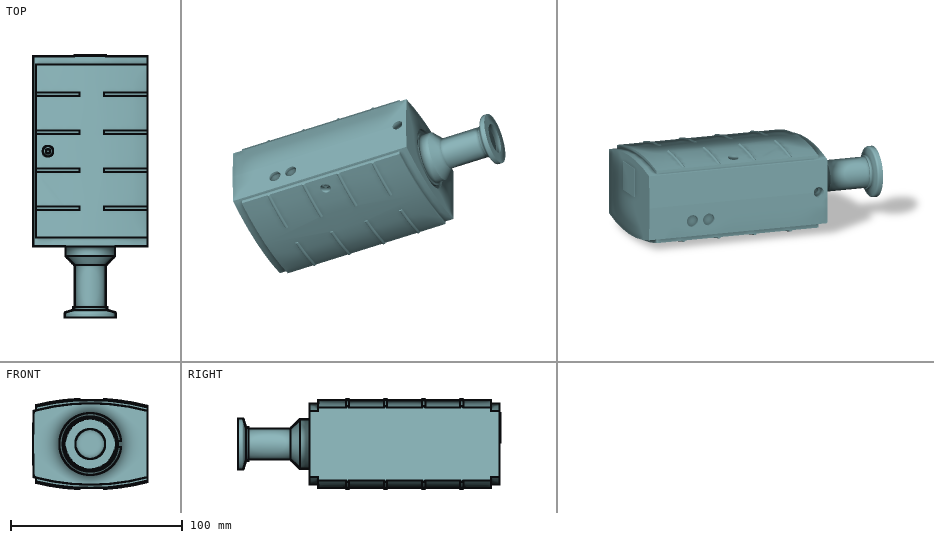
import cadquery as cq


housing_length = 111.0
side_x = 33.5
left_corner_x = 33.0
side_height = 19.3
crown_height = 23.7

panel_thickness = 2.0
panel_left_x = -31.7
panel_end_margin = 5.0

rib_height = 0.8
rib_width = 2.0
rib_rows = 4
rib_pitch = housing_length / (rib_rows + 1)
rib_gap_left_x = -6.1
rib_gap_right_x = 8.0

screw_x = -24.6
screw_y = housing_length / 2
screw_radius = 3.0
screw_base_z = 20.4
screw_dome_height = 1.5
screw_socket_radius = 1.2
screw_socket_depth = 0.9

side_hole_y = 5.5
side_hole_radius = 3.0
side_hole_depth = 4.6
pilot_radius = 1.5
pilot_depth = 7.7
port_radius = 3.5
port_depth = 2.5
port_z = -10.1
port_ys = (74.0, 84.0)

plate_width = 18.4
plate_height = 17.1
plate_thickness = 0.5
plate_center_z = 9.5

seat_radius = 18.0
seat_depth = 1.5
tab_width = 3.2

collar_radius = 16.0
collar_notch_width = 5.2
collar_notch_inset = 1.0
collar_notch_depth = 0.8
base_radius = 14.5
base_length = 5.5
taper_length = 5.5
neck_radius = 9.2
neck_length = 24.5
hub_radius = 10.0
hub_length = 1.5
flange_radius = 15.0
flange_back_length = 1.2
flange_back_radius = 14.1
rounded_edge_length = 1.2
rim_length = 2.1
flange_recess_radius = 8.7
flange_recess_depth = 3.0

crown_sag = crown_height - side_height
crown_radius = (side_x**2 + crown_sag**2) / (2 * crown_sag)
crown_center_z = crown_height - crown_radius


def block(x_min, x_max, y_min, y_max, z_min, z_max):
    """Box between the given limits."""
    size = (x_max - x_min, y_max - y_min, z_max - z_min)
    return cq.Workplane("XY").box(*size, centered=False).translate((x_min, y_min, z_min))


def crown_cylinder(offset, y_min, y_max):
    """Cylinder along Y whose top follows the housing crown, raised by offset."""
    return (
        cq.Workplane("XZ", origin=(0, y_min, crown_center_z))
        .circle(crown_radius + offset)
        .extrude(y_min - y_max)
    )


def mirrored_below(shape):
    """The shape together with its mirror image below Z = 0."""
    return shape.union(shape.mirror("XY"))


def make_shell():
    """Body with a curved top and bottom and a slightly ridged -X side."""
    return (
        cq.Workplane("XZ")
        .moveTo(side_x, -side_height)
        .lineTo(side_x, side_height)
        .threePointArc((0, crown_height), (-left_corner_x, side_height))
        .lineTo(-side_x, 0)
        .lineTo(-left_corner_x, -side_height)
        .threePointArc((0, -crown_height), (side_x, -side_height))
        .close()
        .extrude(-housing_length)
    )


def make_panel():
    """Curved top panel, reaching down into the shell."""
    y_min = panel_end_margin
    y_max = housing_length - panel_end_margin
    trim = block(panel_left_x, side_x, y_min, y_max, 0, crown_height + panel_thickness)
    return crown_cylinder(panel_thickness, y_min, y_max).intersect(trim)


def make_rib(row_y, x_min, x_max):
    """One rib: a ring with a rounded crest around the crown centre, cut to its X range."""
    foot_radius = crown_radius + panel_thickness
    buried_radius = foot_radius - panel_thickness / 2
    ring = (
        cq.Workplane("XY")
        .moveTo(buried_radius, row_y - rib_width / 2)
        .lineTo(foot_radius, row_y - rib_width / 2)
        .threePointArc((foot_radius + rib_height, row_y), (foot_radius, row_y + rib_width / 2))
        .lineTo(buried_radius, row_y + rib_width / 2)
        .close()
        .revolve(360, (0, 0), (0, 1))
        .translate((0, 0, crown_center_z))
    )
    top_z = crown_height + panel_thickness + rib_height
    return ring.intersect(block(x_min, x_max, row_y - rib_width, row_y + rib_width, 0, top_z))


def make_screw_pocket():
    """Space above a recessed screw: a round pocket, less the dome, plus its socket."""
    dome_radius = (screw_radius**2 + screw_dome_height**2) / (2 * screw_dome_height)
    dome_top_z = screw_base_z + screw_dome_height
    pocket = cq.Workplane("XY", origin=(screw_x, screw_y, screw_base_z)).circle(screw_radius)
    dome = cq.Workplane("XY").sphere(dome_radius).translate((screw_x, screw_y, dome_top_z - dome_radius))
    socket = (
        cq.Workplane("XY", origin=(screw_x, screw_y, dome_top_z - screw_socket_depth))
        .circle(screw_socket_radius)
        .extrude(screw_socket_depth)
    )
    return pocket.extrude(crown_height).cut(dome).union(socket)


def side_hole(y, z, radius, depth):
    """Round hole cutter that enters from the -X side."""
    return cq.Workplane("YZ", origin=(-side_x, y, z)).circle(radius).extrude(depth)


def make_tube_seat():
    """Round recess around the tube, interrupted by a tab on the +X side."""
    seat = cq.Workplane("XZ").circle(seat_radius).extrude(-seat_depth)
    tab_rim = seat.cut(cq.Workplane("XZ").circle(collar_radius).extrude(-seat_depth))
    tab = tab_rim.intersect(
        block(0, seat_radius, 0, seat_depth, -tab_width / 2, tab_width / 2)
    )
    return seat.cut(tab)


def make_housing():
    housing = make_shell().union(mirrored_below(make_panel()))
    for row in range(1, rib_rows + 1):
        for x_min, x_max in ((panel_left_x, rib_gap_left_x), (rib_gap_right_x, side_x)):
            rib = make_rib(row * rib_pitch, x_min, x_max)
            housing = housing.union(mirrored_below(rib))

    screw_pocket = make_screw_pocket()
    housing = housing.cut(screw_pocket).cut(screw_pocket.mirror("XY"))

    housing = housing.cut(side_hole(side_hole_y, 0, side_hole_radius, side_hole_depth))
    housing = housing.cut(side_hole(side_hole_y, 0, pilot_radius, pilot_depth))
    for port_y in port_ys:
        housing = housing.cut(side_hole(port_y, port_z, port_radius, port_depth))

    plate = block(
        -plate_width / 2, plate_width / 2,
        housing_length, housing_length + plate_thickness,
        plate_center_z - plate_height / 2, plate_center_z + plate_height / 2,
    )
    return housing.union(plate).cut(make_tube_seat())


def make_tube():
    """Turned tube with a seated collar, a tapered base and an end flange."""
    taper_start = -base_length
    neck_start = taper_start - taper_length
    hub_start = neck_start - neck_length
    flange_start = hub_start - hub_length
    edge_start = flange_start - flange_back_length
    rim_start = edge_start - rounded_edge_length
    tube_end = rim_start - rim_length
    recess_floor = tube_end + flange_recess_depth

    tube = (
        cq.Workplane("XY")
        .moveTo(0, recess_floor)
        .lineTo(flange_recess_radius, recess_floor)
        .lineTo(flange_recess_radius, tube_end)
        .lineTo(flange_radius, tube_end)
        .lineTo(flange_radius, rim_start)
        .tangentArcPoint((flange_back_radius, edge_start), relative=False)
        .lineTo(hub_radius, flange_start)
        .lineTo(hub_radius, hub_start)
        .lineTo(neck_radius, hub_start)
        .lineTo(neck_radius, neck_start)
        .lineTo(base_radius, taper_start)
        .lineTo(base_radius, 0)
        .lineTo(collar_radius, 0)
        .lineTo(collar_radius, seat_depth)
        .lineTo(0, seat_depth)
        .close()
        .revolve(360, (0, 0), (0, 1))
    )
    notch = block(
        -collar_radius, -collar_radius + collar_notch_inset,
        0, collar_notch_depth,
        -collar_notch_width / 2, collar_notch_width / 2,
    )
    return tube.cut(notch)


housing = make_housing()
tube = make_tube()
result = cq.Compound.makeCompound([housing.val(), tube.val()])